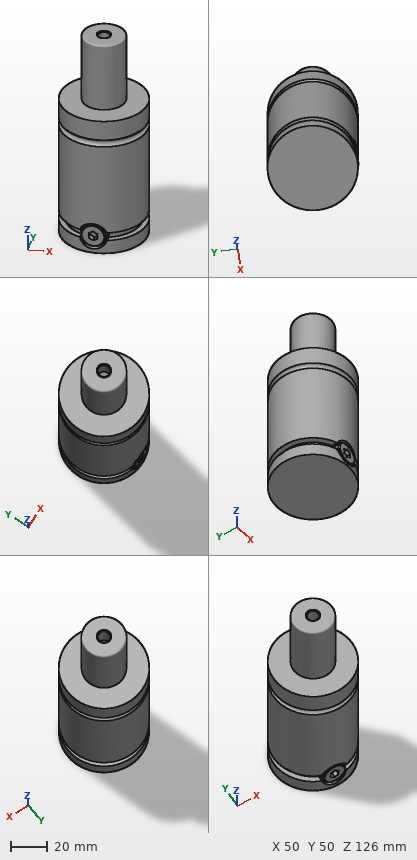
import cadquery as cq
import math

total_height = 126.0
body_diameter = 50.0
body_height = 84.9
body_radius = body_diameter / 2

ring_groove_height = 70.7
ring_groove_width = 4.2
ring_groove_depth = 1.9

base_groove_bottom = 8.3
base_groove_top = 13.2
base_groove_depth = 3.4

rod_diameter = 25.0
rod_edge_radius = 1.0
rod_hole_diameter = 6.8
rod_hole_mouth_diameter = 8.1
rod_hole_depth = 12.6
drill_point_angle = 118.0

port_diameter = 16.0
port_height = 10.6
port_floor_y = -19.9
plug_face_y = -24.6
plug_diameter = 14.0
plug_chamfer = 0.6
hex_across_flats = 5.0
hex_depth = 3.8


def make_body():
    """Revolve the body with both of its grooves."""
    groove_floor = body_radius - base_groove_depth
    half_width = ring_groove_width / 2
    profile = (
        cq.Workplane("XZ")
        .lineTo(body_radius, 0)
        .lineTo(body_radius, base_groove_bottom)
        .lineTo(groove_floor, base_groove_bottom)
        .lineTo(groove_floor, base_groove_top)
        .lineTo(body_radius, base_groove_top)
        .lineTo(body_radius, ring_groove_height - half_width)
        .threePointArc(
            (body_radius - ring_groove_depth, ring_groove_height),
            (body_radius, ring_groove_height + half_width),
        )
        .lineTo(body_radius, body_height)
        .lineTo(0, body_height)
        .close()
    )
    return profile.revolve(360, (0, 0, 0), (0, 1, 0))


def make_rod():
    """Round-edged rod, reaching slightly into the body so that the two join."""
    overlap = 1.3
    return (
        cq.Workplane("XY", origin=(0, 0, body_height - overlap))
        .circle(rod_diameter / 2)
        .extrude(total_height - body_height + overlap)
        .faces(">Z")
        .edges()
        .fillet(rod_edge_radius)
    )


def make_rod_hole():
    """Countersunk blind hole with a conical drill point."""
    hole_radius = rod_hole_diameter / 2
    mouth_radius = rod_hole_mouth_diameter / 2
    mouth_depth = mouth_radius - hole_radius
    hole_floor = total_height - rod_hole_depth
    point_depth = hole_radius / math.tan(math.radians(drill_point_angle / 2))
    profile = (
        cq.Workplane("XZ")
        .moveTo(0, total_height)
        .lineTo(mouth_radius, total_height)
        .lineTo(hole_radius, total_height - mouth_depth)
        .lineTo(hole_radius, hole_floor)
        .lineTo(0, hole_floor - point_depth)
        .close()
    )
    return profile.revolve(360, (0, 0, 0), (0, 1, 0))


def port_plane(y):
    """Plane across the port axis at the given Y, facing outward along -Y."""
    return cq.Workplane("XZ", origin=(0, y, port_height))


def make_port():
    return port_plane(port_floor_y).circle(port_diameter / 2).extrude(body_radius)


def make_plug():
    """Plug that stands on the port floor, with a chamfered rim and a hexagon socket."""
    hex_across_corners = hex_across_flats / math.cos(math.pi / 6)
    plug = (
        port_plane(port_floor_y)
        .circle(plug_diameter / 2)
        .extrude(port_floor_y - plug_face_y)
        .faces("<Y")
        .edges()
        .chamfer(plug_chamfer)
    )
    socket = (
        port_plane(plug_face_y)
        .transformed(rotate=(0, 0, 90))
        .polygon(6, hex_across_corners)
        .extrude(-hex_depth)
    )
    return plug.cut(socket)


result = (
    make_body()
    .union(make_rod())
    .cut(make_rod_hole())
    .cut(make_port())
    .union(make_plug())
)